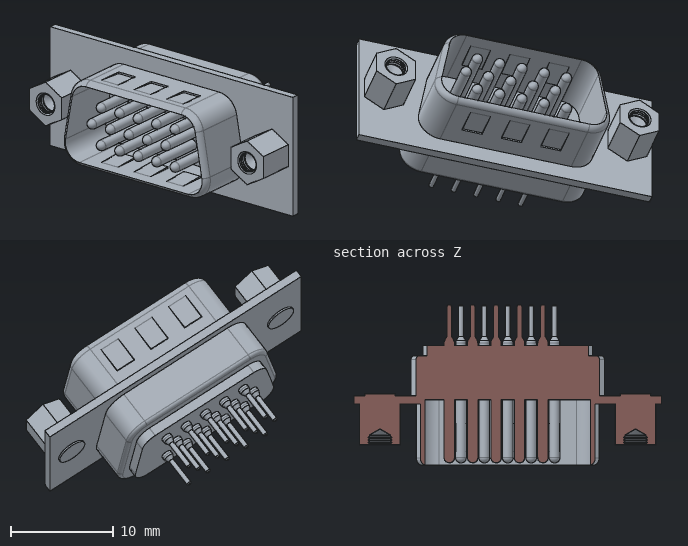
import cadquery as cq
import math


FLANGE_WIDTH = 30.1
FLANGE_HEIGHT = 12.55
FLANGE_THICKNESS = 0.85

SIDE_TILT = math.radians(10)
SHELL_WIDTH = 17.9
SHELL_HEIGHT = 9.15
SHELL_CORNER = 2.23
SHELL_LENGTH = 6.0
SHELL_WALL = 0.48
SHELL_RIM_ROUND = 0.75
CAVITY_FLOOR_Y = FLANGE_THICKNESS / 2

HOUSING_WIDTH = 18.95
HOUSING_HEIGHT = 10.47
HOUSING_CORNER = 2.23
HOUSING_BACK_Y = 4.75
HOUSING_ROUND = 0.4

INSERT_INSET = 0.65
INSERT_BACK_Y = 5.75

DIMPLE_WIDTH = 2.05
DIMPLE_LENGTH = 2.75
DIMPLE_DEPTH = 0.18
DIMPLE_PITCH = 4.03
DIMPLE_CENTRE_Y = -3.25

PIN_PITCH = 2.3
PIN_ROW_PITCH = 2.0
PINS_PER_ROW = 5
PIN_RADIUS = 1.05 / 2
PIN_TIP_Y = -5.75
COLLAR_LENGTH = 0.25
BEVEL_LENGTH = 0.2
BEVEL_END_RADIUS = 1.0 / 2
TAPER_LENGTH = 0.42
TAIL_RADIUS = 0.5 / 2
TAIL_END_Y = 9.72
TAIL_CHAMFER = 0.12

STANDOFF_SPACING = 24.98
STANDOFF_FLATS = 4.0
STANDOFF_LENGTH = 3.97
SHANK_RADIUS = 1.5
SHANK_PROTRUSION = 0.18
THREAD_MINOR_RADIUS = 2.0 / 2
THREAD_MAJOR_RADIUS = 2.32 / 2
THREAD_PITCH = 0.25
THREAD_TURNS = 4
DRILL_POINT_LENGTH = 0.57


def facing_back(y):
    """Workplane at the given Y whose extrusions run toward +Y; local axes are (-X, Z)."""
    return cq.Workplane("XZ", origin=(0, y, 0)).transformed(rotate=(0, 180, 0))


def d_prism(width, height, corner, y_front, y_back):
    """Rounded trapezoid, wide at the bottom, extruded from y_front to y_back."""
    arc_z = height / 2 - corner
    lower_arc_x = width / 2 - corner
    upper_arc_x = lower_arc_x - 2 * arc_z * math.tan(SIDE_TILT)

    upper_mid = (math.pi / 2 + SIDE_TILT) / 2
    lower_mid = (-math.pi / 2 + SIDE_TILT) / 2

    def on_arc(centre_x, centre_z, angle):
        return (centre_x + corner * math.cos(angle), centre_z + corner * math.sin(angle))

    half = (
        facing_back(y_front)
        .moveTo(0, height / 2)
        .lineTo(upper_arc_x, height / 2)
        .threePointArc(on_arc(upper_arc_x, arc_z, upper_mid), on_arc(upper_arc_x, arc_z, SIDE_TILT))
        .lineTo(*on_arc(lower_arc_x, -arc_z, SIDE_TILT))
        .threePointArc(on_arc(lower_arc_x, -arc_z, lower_mid), (lower_arc_x, -height / 2))
        .lineTo(0, -height / 2)
    )
    return half.mirrorY().extrude(y_back - y_front)


def revolve_along_y(half_profile, x, z):
    """Turned body from a closed half profile in XY, with its axis parallel to Y through (x, z)."""
    return half_profile.revolve(360, (0, 0, 0), (0, 1, 0)).translate((x, 0, z))


def make_flange():
    return cq.Workplane("XY").box(
        FLANGE_WIDTH, FLANGE_THICKNESS, FLANGE_HEIGHT, centered=(True, False, True)
    )


def dimple_wedge(x, wall_z, side):
    """Ramp starting flush with the wall at its front edge and deepest at its back edge."""
    front_y = DIMPLE_CENTRE_Y - DIMPLE_LENGTH / 2
    back_y = DIMPLE_CENTRE_Y + DIMPLE_LENGTH / 2
    ramp = [(front_y, wall_z), (back_y, wall_z), (back_y, wall_z - side * DIMPLE_DEPTH)]
    wedge = cq.Workplane("YZ").polyline(ramp).close().extrude(DIMPLE_WIDTH / 2, both=True)
    return wedge.translate((x, 0, 0))


def make_shelled_flange():
    rim_span = math.sqrt(SHELL_RIM_ROUND**2 - (SHELL_RIM_ROUND - SHELL_WALL) ** 2)
    blank_front_y = -SHELL_LENGTH - (SHELL_RIM_ROUND - rim_span)
    shell = d_prism(SHELL_WIDTH, SHELL_HEIGHT, SHELL_CORNER, blank_front_y, FLANGE_THICKNESS)
    shell = shell.faces("<Y").edges().fillet(SHELL_RIM_ROUND)
    cavity = d_prism(
        SHELL_WIDTH - 2 * SHELL_WALL,
        SHELL_HEIGHT - 2 * SHELL_WALL,
        SHELL_CORNER - SHELL_WALL,
        blank_front_y,
        CAVITY_FLOOR_Y,
    )
    shell = shell.union(make_flange()).cut(cavity)

    for side in (-1, 1):
        outer_z = side * SHELL_HEIGHT / 2
        inner_z = side * (SHELL_HEIGHT / 2 - SHELL_WALL)
        for column in (-1, 0, 1):
            dimple_x = column * DIMPLE_PITCH
            shell = shell.union(dimple_wedge(dimple_x, inner_z, side))
            shell = shell.cut(dimple_wedge(dimple_x, outer_z, side))
    return shell


def make_housing():
    housing = d_prism(HOUSING_WIDTH, HOUSING_HEIGHT, HOUSING_CORNER, FLANGE_THICKNESS, HOUSING_BACK_Y)
    housing = housing.faces(">Y").edges().fillet(HOUSING_ROUND)
    insert = d_prism(
        SHELL_WIDTH - 2 * INSERT_INSET,
        SHELL_HEIGHT - 2 * INSERT_INSET,
        SHELL_CORNER - INSERT_INSET,
        FLANGE_THICKNESS,
        INSERT_BACK_Y,
    )
    return housing.union(insert)


def make_pin(x, z):
    collar_end_y = INSERT_BACK_Y + COLLAR_LENGTH
    bevel_end_y = collar_end_y + BEVEL_LENGTH
    taper_end_y = bevel_end_y + TAPER_LENGTH
    dome_y = PIN_TIP_Y + PIN_RADIUS
    dome_mid = PIN_RADIUS * math.sqrt(0.5)
    half_profile = (
        cq.Workplane("XY")
        .moveTo(0, PIN_TIP_Y)
        .threePointArc((dome_mid, dome_y - dome_mid), (PIN_RADIUS, dome_y))
        .lineTo(PIN_RADIUS, collar_end_y)
        .lineTo(BEVEL_END_RADIUS, bevel_end_y)
        .lineTo(TAIL_RADIUS, taper_end_y)
        .lineTo(TAIL_RADIUS, TAIL_END_Y - TAIL_CHAMFER)
        .lineTo(TAIL_RADIUS - TAIL_CHAMFER, TAIL_END_Y)
        .lineTo(0, TAIL_END_Y)
        .close()
    )
    return revolve_along_y(half_profile, x, z)


def make_standoff(x):
    hexagon_diameter = STANDOFF_FLATS / math.cos(math.radians(30))
    hexagon = facing_back(-STANDOFF_LENGTH).polygon(6, hexagon_diameter).extrude(STANDOFF_LENGTH)
    hexagon = hexagon.rotate((0, 0, 0), (0, 1, 0), 30)
    shank = facing_back(0).circle(SHANK_RADIUS).extrude(FLANGE_THICKNESS + SHANK_PROTRUSION)
    return hexagon.union(shank).translate((x, 0, 0))


def make_threaded_hole(x):
    """Thread formed as a stack of V grooves, ending in a conical drill point."""
    profile = [(0, -STANDOFF_LENGTH)]
    for turn in range(THREAD_TURNS):
        root_y = -STANDOFF_LENGTH + turn * THREAD_PITCH
        profile.append((THREAD_MAJOR_RADIUS, root_y))
        profile.append((THREAD_MINOR_RADIUS, root_y + THREAD_PITCH / 2))
    thread_end_y = -STANDOFF_LENGTH + THREAD_TURNS * THREAD_PITCH
    profile.append((THREAD_MINOR_RADIUS, thread_end_y))
    profile.append((0, thread_end_y + DRILL_POINT_LENGTH))
    return revolve_along_y(cq.Workplane("XY").polyline(profile).close(), x, 0)


result = make_shelled_flange().union(make_housing())

for row in (-1, 0, 1):
    row_shift = -PIN_PITCH / 2 if row == 0 else 0
    for column in range(PINS_PER_ROW):
        pin_x = (column - (PINS_PER_ROW - 1) / 2) * PIN_PITCH + row_shift
        result = result.union(make_pin(pin_x, row * PIN_ROW_PITCH))

for standoff_x in (-STANDOFF_SPACING / 2, STANDOFF_SPACING / 2):
    result = result.union(make_standoff(standoff_x)).cut(make_threaded_hole(standoff_x))